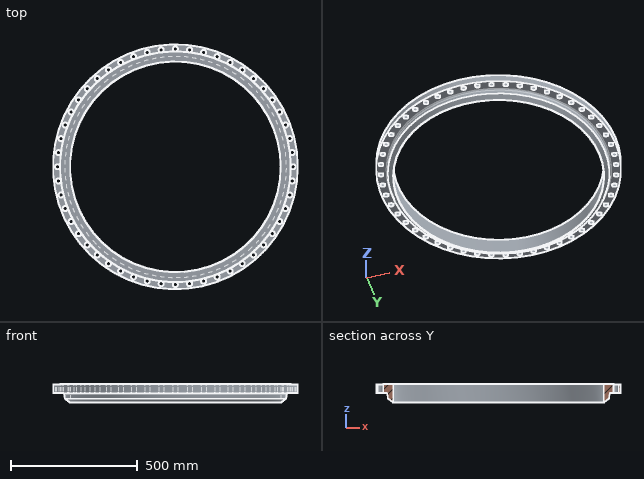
import cadquery as cq

outer_diameter = 965.0
total_height = 73.0
bore_diameter = 828.0

raised_face_diameter = 907.0
raised_face_height = 1.4
raised_face_slope_width = 1.0
flange_bottom_depth = 36.0

neck_top_diameter = 878.0
neck_bottom_diameter = 873.0
neck_fillet = 5.0
bevel_height = 15.0
land_width = 2.0

bolt_count = 52
bolt_circle_diameter = 928.0
bolt_hole_diameter = 19.0


def make_ring():
    """Revolve the flange and neck section about Z, with the sealing face at z = 0."""
    bore_radius = bore_diameter / 2
    outer_radius = outer_diameter / 2
    raised_face_radius = raised_face_diameter / 2
    neck_top_radius = neck_top_diameter / 2
    section = (
        cq.Workplane("XZ")
        .moveTo(bore_radius, 0)
        .lineTo(raised_face_radius, 0)
        .lineTo(raised_face_radius + raised_face_slope_width, -raised_face_height)
        .lineTo(outer_radius, -raised_face_height)
        .lineTo(outer_radius, -flange_bottom_depth)
        .lineTo(neck_top_radius + neck_fillet, -flange_bottom_depth)
        .radiusArc((neck_top_radius, -flange_bottom_depth - neck_fillet), -neck_fillet)
        .lineTo(neck_bottom_diameter / 2, bevel_height - total_height)
        .lineTo(bore_radius + land_width, -total_height)
        .lineTo(bore_radius, -total_height)
        .close()
    )
    return section.revolve(360, (0, 0, 0), (0, 1, 0))


def make_bolt_holes():
    """Cylinders through the flange plate, evenly spaced on the bolt circle."""
    return (
        cq.Workplane("XY")
        .polarArray(bolt_circle_diameter / 2, 0, 360, bolt_count)
        .circle(bolt_hole_diameter / 2)
        .extrude(-total_height)
    )


result = make_ring().cut(make_bolt_holes())